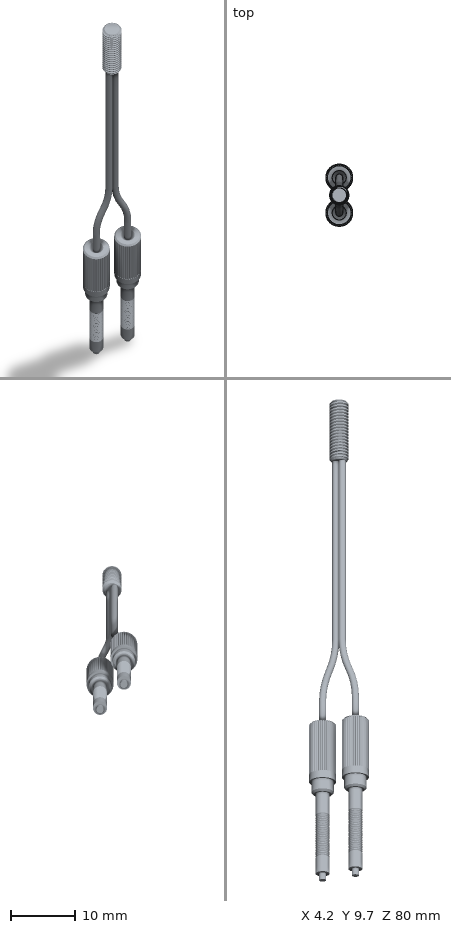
import cadquery as cq
import math


total_height = 80.0
head_length = 10.0
head_diameter = 3.0
head_chamfer = 0.35
head_thread_pitch = 0.5
head_thread_depth = 0.23
thread_start_angle = 90.0
head_base_z = total_height - head_length

fibre_diameter = 1.1
fork_top_z = 40.0
fork_base_z = 30.0
connector_spacing = 5.5

connector_base_z = 1.1
shaft_diameter = 2.2
ring_base_z = 3.75
ring_count = 24
ring_pitch = 0.3
ring_depth = 0.1
collar_diameter = 3.5
collar_base_z = 14.45
collar_chamfer = 0.3
grip_diameter = 4.2
grip_base_z = 16.5
grip_top_z = 26.25
grip_chamfer = 0.25
knurl_base_z = 17.7
knurl_top_z = grip_top_z - grip_chamfer
knurl_count = 36
knurl_depth = 0.15
entry_diameter = 2.2
entry_depth = (entry_diameter - fibre_diameter) / 2

root_share = 0.1
mouth_share = 0.9
clearance = 0.1


def head_thread_groove():
    """Helical V groove around the Z axis, starting one pitch below the head and ending above it."""
    radius = head_diameter / 2
    root_radius = radius - head_thread_depth
    half_root = root_share * head_thread_pitch / 2
    half_mouth = mouth_share * head_thread_pitch / 2
    start_z = head_base_z - head_thread_pitch
    length = head_length + 2 * head_thread_pitch
    helix = cq.Wire.makeHelix(head_thread_pitch, length, radius, center=cq.Vector(0, 0, start_z))
    profile = cq.Workplane("XZ").polyline(
        [
            (root_radius, start_z - half_root),
            (radius + clearance, start_z - half_mouth),
            (radius + clearance, start_z + half_mouth),
            (root_radius, start_z + half_root),
        ]
    ).close()
    groove = profile.sweep(cq.Workplane(helix), isFrenet=True)
    return groove.rotate((0, 0, 0), (0, 0, 1), thread_start_angle)


def make_head():
    blank = (
        cq.Workplane("XY")
        .workplane(offset=head_base_z)
        .circle(head_diameter / 2)
        .extrude(head_length)
        .faces("<Z or >Z")
        .chamfer(head_chamfer)
    )
    threaded_rod = (
        cq.Workplane("XY")
        .workplane(offset=head_base_z - 2 * head_thread_pitch)
        .circle(head_diameter / 2)
        .extrude(head_length + 4 * head_thread_pitch)
        .cut(head_thread_groove())
    )
    return blank.intersect(threaded_rod)


def make_fibre(side):
    """Fibre on the +Y (side = 1) or -Y (side = -1) half: straight, S bend, straight."""
    upper_y = side * fibre_diameter / 2
    lower_y = side * connector_spacing / 2
    height = fork_top_z - fork_base_z
    spread = lower_y - upper_y
    path = (
        cq.Workplane("YZ")
        .moveTo(upper_y, head_base_z)
        .lineTo(upper_y, fork_top_z)
        .tangentArcPoint((spread / 2, -height / 2))
        .tangentArcPoint((spread / 2, -height / 2))
        .lineTo(lower_y, 0)
    )
    section = cq.Workplane("XY", origin=(0, upper_y, head_base_z)).circle(fibre_diameter / 2)
    return section.sweep(path)


def knurl_grooves():
    """Straight V grooves around the grip."""
    radius = grip_diameter / 2
    half_width = math.pi * radius / knurl_count
    groove = (
        cq.Workplane("XY")
        .workplane(offset=knurl_base_z)
        .polyline(
            [
                (radius - knurl_depth, 0),
                (radius + clearance, -half_width),
                (radius + clearance, half_width),
            ]
        )
        .close()
        .extrude(knurl_top_z - knurl_base_z)
        .val()
    )
    step = 360 / knurl_count
    grooves = [groove.rotate((0, 0, 0), (0, 0, 1), step * i) for i in range(knurl_count)]
    return cq.Workplane(cq.Compound.makeCompound(grooves))


def make_connector():
    """Connector around the Z axis, bored for its fibre."""
    shaft_r = shaft_diameter / 2
    collar_r = collar_diameter / 2
    grip_r = grip_diameter / 2
    bore_r = fibre_diameter / 2
    outline = [
        (bore_r, connector_base_z),
        (shaft_r, connector_base_z),
        (shaft_r, ring_base_z),
    ]
    for ring in range(ring_count):
        groove_z = ring_base_z + ring * ring_pitch
        outline.append((shaft_r - ring_depth, groove_z + ring_pitch / 2))
        outline.append((shaft_r, groove_z + ring_pitch))
    outline += [
        (shaft_r, collar_base_z),
        (collar_r - collar_chamfer, collar_base_z),
        (collar_r, collar_base_z + collar_chamfer),
        (collar_r, grip_base_z),
        (grip_r, grip_base_z),
        (grip_r, grip_top_z - grip_chamfer),
        (grip_r - grip_chamfer, grip_top_z),
        (entry_diameter / 2, grip_top_z),
        (bore_r, grip_top_z - entry_depth),
    ]
    body = cq.Workplane("XZ").polyline(outline).close().revolve(360, (0, 0), (0, 1))
    return body.cut(knurl_grooves())


head = make_head()
connector = make_connector()
sides = (1, -1)
fibres = [make_fibre(side).val() for side in sides]
connectors = [connector.translate((0, side * connector_spacing / 2, 0)).val() for side in sides]

result = cq.Compound.makeCompound([head.val(), *fibres, *connectors])